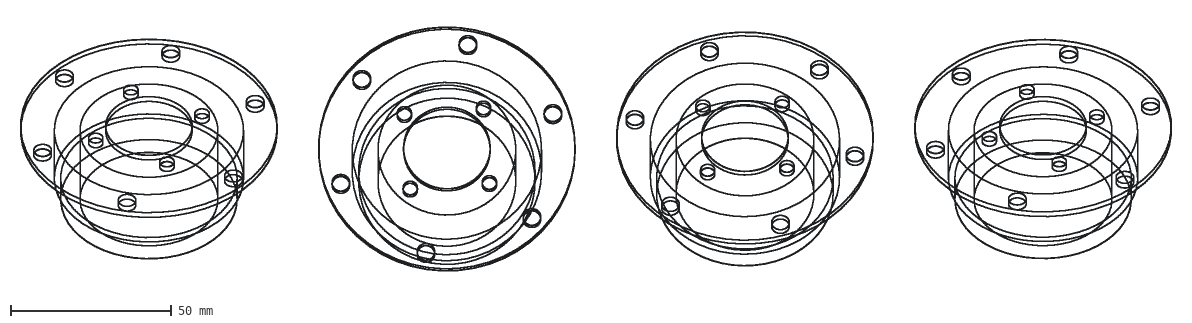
import cadquery as cq

flange_diameter = 80.0
flange_thickness = 2.0

body_diameter = 59.0
body_height = 20.0
spigot_diameter = 55.0
spigot_height = 9.0

bore_diameter = 27.0
cavity_diameter = 43.0
inner_hole_count = 4
inner_hole_diameter = 4.5
inner_bolt_circle_radius = 17.5
outer_hole_count = 6
outer_hole_diameter = 5.5
outer_bolt_circle_radius = 35.0
outer_start_angle = 90.0

body_base_z = spigot_height
flange_base_z = body_base_z + body_height
total_height = flange_base_z + flange_thickness


def disc(diameter, base_z, height):
    """Solid cylinder about Z, standing on base_z."""
    return cq.Workplane("XY").workplane(offset=base_z).circle(diameter / 2).extrude(height)


def hole_ring(count, diameter, radius, start_angle):
    """Through-hole cutters evenly spaced on a bolt circle about Z."""
    return (
        cq.Workplane("XY")
        .polarArray(radius, start_angle, 360, count)
        .circle(diameter / 2)
        .extrude(total_height)
    )


spigot = disc(spigot_diameter, 0, spigot_height)
body = disc(body_diameter, body_base_z, body_height)
flange = disc(flange_diameter, flange_base_z, flange_thickness)
bore = disc(bore_diameter, 0, total_height)
cavity = disc(cavity_diameter, 0, flange_base_z)
inner_holes = hole_ring(inner_hole_count, inner_hole_diameter, inner_bolt_circle_radius, 0)
outer_holes = hole_ring(outer_hole_count, outer_hole_diameter, outer_bolt_circle_radius, outer_start_angle)

result = spigot.union(body).union(flange).cut(bore).cut(cavity).cut(inner_holes).cut(outer_holes)